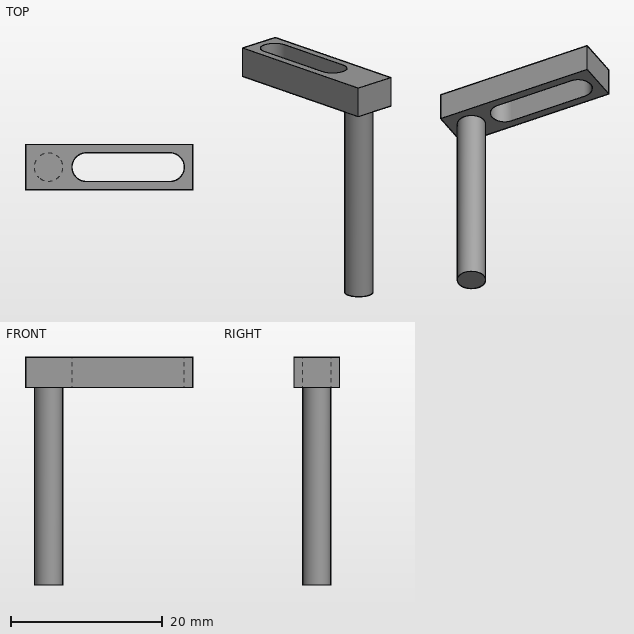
import cadquery as cq

total_height = 30.0
bar_length = 22.0
bar_width = 6.0
bar_height = 4.0
round_diameter = 3.75
slot_center_spacing = 11.0

end_offset = bar_width / 2
pin_length = total_height - bar_height
slot_length = slot_center_spacing + round_diameter
slot_center_x = bar_length - end_offset - slot_center_spacing / 2


def make_bar():
    """Rectangular bar with its -X end at X = 0 and its underside at Z = 0."""
    return cq.Workplane("XY").box(bar_length, bar_width, bar_height, centered=(False, True, False))


def make_pin():
    """Round pin hanging from the underside of the bar near its -X end."""
    return cq.Workplane("XY").center(end_offset, 0).circle(round_diameter / 2).extrude(-pin_length)


def make_slot():
    """Round-ended slot through the full height of the bar."""
    return cq.Workplane("XY").center(slot_center_x, 0).slot2D(slot_length, round_diameter).extrude(bar_height)


result = make_bar().cut(make_slot()).union(make_pin())